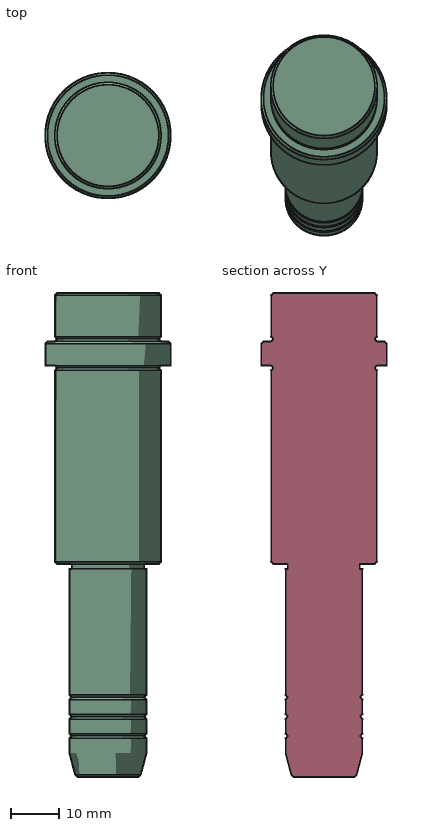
import cadquery as cq
import math

body_radius = 11.0
flange_radius = 13.0
shaft_radius = 8.0
neck_radius = 7.5

total_height = 100.0
flange_top = 90.0
flange_bottom = 85.0
body_bottom = 44.0
shaft_top = 43.0
taper_height = 5.0
groove_centers = (8.5, 12.5, 16.5)

chamfer = 0.5
groove_half_width = 0.5
groove_depth = 0.5
taper_angle = 15.0

taper_drop = (taper_height - chamfer) * math.tan(math.radians(taper_angle))
tip_radius = shaft_radius - taper_drop


def groove_points(radius, center):
    """Half-profile points of a V groove cut into a cylinder, from bottom to top."""
    return [
        (radius, center - groove_half_width),
        (radius - groove_depth, center),
        (radius, center + groove_half_width),
    ]


profile = [
    (0, 0),
    (tip_radius - chamfer, 0),
    (tip_radius, chamfer),
    (shaft_radius, taper_height),
]
for groove_center in groove_centers:
    profile += groove_points(shaft_radius, groove_center)

profile += [
    (shaft_radius, shaft_top),
    (neck_radius, shaft_top),
    (neck_radius, body_bottom),
]

profile += [
    (body_radius - chamfer, body_bottom),
    (body_radius, body_bottom + chamfer),
]
profile += groove_points(body_radius, flange_bottom - groove_half_width)

profile += [
    (flange_radius, flange_bottom),
    (flange_radius, flange_top - chamfer),
    (flange_radius - chamfer, flange_top),
]

profile += groove_points(body_radius, flange_top + groove_half_width)
profile += [
    (body_radius, total_height - chamfer),
    (body_radius - chamfer, total_height),
    (0, total_height),
]

result = cq.Workplane("XZ").polyline(profile).close().revolve(360, (0, 0, 0), (0, 1, 0))